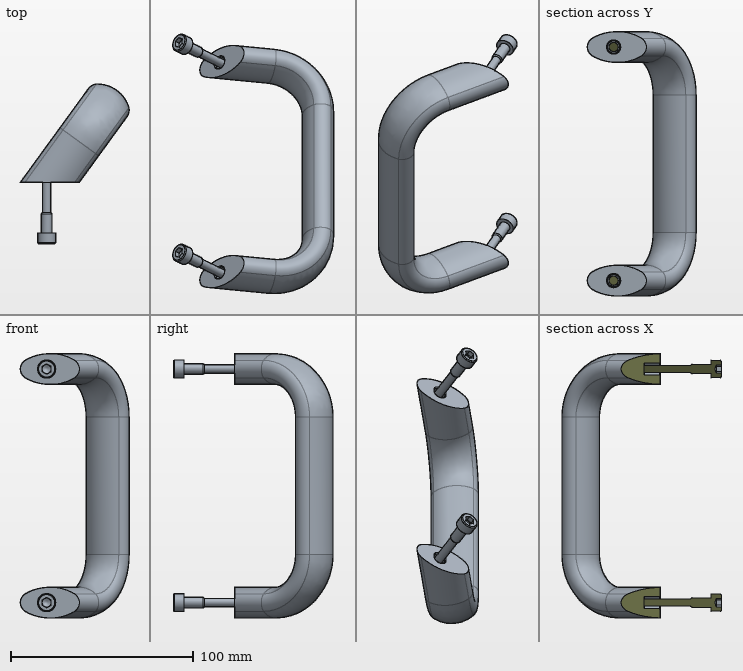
import cadquery as cq
import math

overall_height = 145.0
lean_angle = 54.0
oval_width = 26.2
oval_thickness = 17.0
corner_half_width = 11.0
corner_half_thickness = 4.8
bend_radius = 26.4
grip_reach = 53.9

leg_height = (overall_height - oval_thickness) / 2
lean_x = math.cos(math.radians(lean_angle))
lean_y = math.sin(math.radians(lean_angle))

screw_offset = -1.7
head_diameter = 10.0
head_length = 6.0
head_chamfer = 0.6
shank_diameter = 6.0
shank_length = 11.2
shank_chamfer = 0.7
neck_diameter = 4.8
neck_exposed = 16.5
neck_inserted = 8.7
socket_across_flats = 5.0
socket_depth = 2.9
socket_cone_depth = 1.2

hole_diameter = 6.7
hole_chamfer = 0.6
hole_depth = neck_inserted

head_face_y = -(neck_exposed + shank_length + head_length)


def make_foot_hole(z):
    hole_radius = hole_diameter / 2
    return (
        cq.Workplane("XY")
        .lineTo(hole_radius + hole_chamfer, 0)
        .lineTo(hole_radius, hole_chamfer)
        .lineTo(hole_radius, hole_depth)
        .lineTo(0, hole_depth)
        .close()
        .revolve(360, (0, 0, 0), (0, 1, 0))
        .translate((screw_offset, 0, z))
    )


def make_handle():
    path_plane = cq.Plane(origin=(0, 0, 0), xDir=(lean_x, lean_y, 0), normal=(lean_y, -lean_x, 0))
    leg_start = -oval_width
    bend_start = grip_reach - bend_radius
    grip_end = leg_height - bend_radius
    diagonal = bend_radius * math.sqrt(0.5)
    path = (
        cq.Workplane(path_plane)
        .moveTo(leg_start, -leg_height)
        .lineTo(bend_start, -leg_height)
        .threePointArc((bend_start + diagonal, -grip_end - diagonal), (grip_reach, -grip_end))
        .lineTo(grip_reach, grip_end)
        .threePointArc((bend_start + diagonal, grip_end + diagonal), (bend_start, leg_height))
        .lineTo(leg_start, leg_height)
    )
    section_plane = cq.Plane(
        origin=(leg_start * lean_x, leg_start * lean_y, -leg_height),
        xDir=(lean_y, -lean_x, 0),
        normal=(lean_x, lean_y, 0),
    )
    u = corner_half_width
    v = corner_half_thickness
    bar = (
        cq.Workplane(section_plane)
        .moveTo(-u, -v)
        .threePointArc((0, -oval_thickness / 2), (u, -v))
        .threePointArc((oval_width / 2, 0), (u, v))
        .threePointArc((0, oval_thickness / 2), (-u, v))
        .threePointArc((-oval_width / 2, 0), (-u, -v))
        .close()
        .sweep(path)
    )
    trim_size = 2 * overall_height
    trim = cq.Workplane("XY").box(trim_size, trim_size, trim_size).translate((0, -trim_size / 2, 0))
    handle = bar.cut(trim)
    for z in (-leg_height, leg_height):
        handle = handle.cut(make_foot_hole(z))
    return handle


def make_screw(z):
    head_radius = head_diameter / 2
    shank_radius = shank_diameter / 2
    neck_radius = neck_diameter / 2
    under_head_y = head_face_y + head_length
    shank_end_y = -neck_exposed
    screw = (
        cq.Workplane("XY")
        .moveTo(0, head_face_y)
        .lineTo(head_radius - head_chamfer, head_face_y)
        .lineTo(head_radius, head_face_y + head_chamfer)
        .lineTo(head_radius, under_head_y)
        .lineTo(shank_radius, under_head_y)
        .lineTo(shank_radius, shank_end_y - shank_chamfer)
        .lineTo(neck_radius, shank_end_y)
        .lineTo(neck_radius, neck_inserted)
        .lineTo(0, neck_inserted)
        .close()
        .revolve(360, (0, 0, 0), (0, 1, 0))
    )
    socket_diameter = socket_across_flats / math.cos(math.radians(30))
    socket = (
        cq.Workplane("XZ", origin=(0, head_face_y, 0))
        .transformed(rotate=(0, 0, 90))
        .polygon(6, socket_diameter)
        .extrude(-socket_depth)
    )
    floor = cq.Solid.makeCone(
        socket_across_flats / 2, 0, socket_cone_depth,
        cq.Vector(0, head_face_y + socket_depth, 0), cq.Vector(0, 1, 0),
    )
    return screw.cut(socket).cut(cq.Workplane(floor)).translate((screw_offset, 0, z))


handle = make_handle()
screws = [make_screw(z) for z in (-leg_height, leg_height)]

result = cq.Compound.makeCompound([handle.val(), *[screw.val() for screw in screws]])